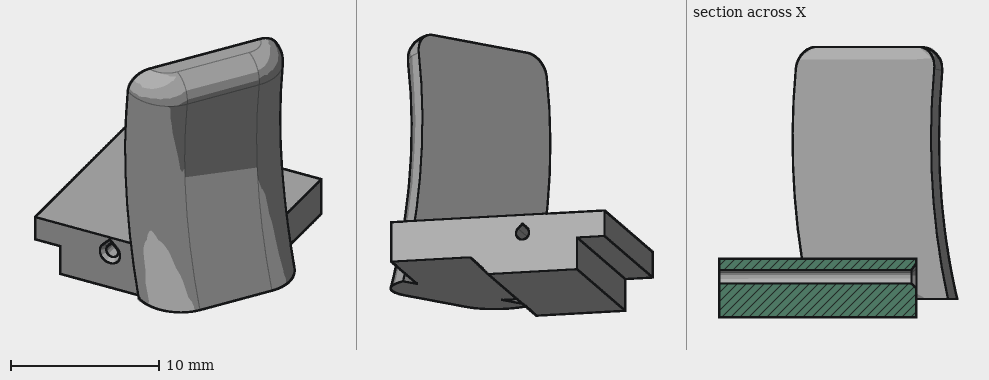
import cadquery as cq
import math

PLATE_LENGTH = 14.83
PLATE_WIDTH = 13.3
PLATE_TOP = 3.96
STEP_LENGTH = 1.91
STEP_HEIGHT = 2.19
FOOT_END = 8.1

HOLE_X = 5.7
HOLE_Z = 2.71
HOLE_RADIUS = 0.45
MOUTH_RADIUS = 0.77
MOUTH_DEPTH = MOUTH_RADIUS - HOLE_RADIUS

LEVER_ANGLE = 55.0
LEVER_WIDTH = 11.4
LEVER_THICKNESS = 3.0
LEVER_X = 7.37
LEVER_Y = -0.98
LEVER_BOTTOM = 1.23
LEVER_TOP = 18.24
LEVER_RADIUS = 30.0
BEND_Z = 12.0
SIDE_LAND = 0.03
SIDE_ROUND = LEVER_THICKNESS - SIDE_LAND
TOP_ROUND = 1.5

SELECTION_MARGIN = 0.003

PLATE_CUT_OFFSET = 3.0

ALONG = cq.Vector(math.cos(math.radians(LEVER_ANGLE)), math.sin(math.radians(LEVER_ANGLE)), 0)
OUTWARD = cq.Vector(ALONG.y, -ALONG.x, 0)
LEVER_PLANE = cq.Plane(origin=(LEVER_X, LEVER_Y, 0), xDir=OUTWARD, normal=-ALONG)


def teardrop(radius, y):
    """Closed teardrop wire in a plane of constant Y, with a 90 degree point upward."""
    tangent = radius * math.sqrt(0.5)
    return (
        cq.Workplane("XZ", origin=(HOLE_X, y, HOLE_Z))
        .moveTo(-tangent, tangent)
        .threePointArc((0, -radius), (tangent, tangent))
        .lineTo(0, 2 * tangent)
        .close()
        .val()
    )


def make_hole():
    """Through hole with a tapered mouth at the front face."""
    bore = cq.Solid.extrudeLinear(teardrop(HOLE_RADIUS, 0), [], cq.Vector(0, PLATE_WIDTH, 0))
    mouth = cq.Solid.makeLoft([teardrop(MOUTH_RADIUS, 0), teardrop(HOLE_RADIUS, MOUTH_DEPTH)], True)
    return cq.Workplane(bore).union(cq.Workplane(mouth))


def make_plate():
    """Stepped plate with a 45 degree slope up to the lever and its lever corner cut off."""
    slope_end = FOOT_END + LEVER_BOTTOM
    plate = (
        cq.Workplane("XZ")
        .moveTo(0, PLATE_TOP)
        .lineTo(0, STEP_HEIGHT)
        .lineTo(STEP_LENGTH, STEP_HEIGHT)
        .lineTo(STEP_LENGTH, 0)
        .lineTo(FOOT_END, 0)
        .lineTo(slope_end, LEVER_BOTTOM)
        .lineTo(PLATE_LENGTH, LEVER_BOTTOM)
        .lineTo(PLATE_LENGTH, PLATE_TOP)
        .close()
        .extrude(-PLATE_WIDTH)
    )
    corner = (
        cq.Workplane(LEVER_PLANE)
        .moveTo(PLATE_CUT_OFFSET, 0)
        .rect(PLATE_LENGTH, PLATE_TOP, centered=False)
        .extrude(-LEVER_WIDTH)
    )
    return plate.cut(corner).cut(make_hole())


def bend_offset(start, radius, z):
    """Outward position at height z of a face bent about the lever's axis."""
    return start + radius - math.sqrt(radius**2 - (z - BEND_Z) ** 2)


def make_lever():
    """Bent slab with rounded outer sides and a rounded top rim, flush at its inner face."""
    outer_radius = LEVER_RADIUS - LEVER_THICKNESS
    lever = (
        cq.Workplane(LEVER_PLANE)
        .moveTo(bend_offset(0, LEVER_RADIUS, LEVER_BOTTOM), LEVER_BOTTOM)
        .threePointArc((0, BEND_Z), (bend_offset(0, LEVER_RADIUS, LEVER_TOP), LEVER_TOP))
        .lineTo(bend_offset(LEVER_THICKNESS, outer_radius, LEVER_TOP), LEVER_TOP)
        .threePointArc(
            (LEVER_THICKNESS, BEND_Z),
            (bend_offset(LEVER_THICKNESS, outer_radius, LEVER_BOTTOM), LEVER_BOTTOM),
        )
        .close()
        .extrude(-LEVER_WIDTH)
    )
    smallest_radius = cq.selectors.RadiusNthSelector(0)
    lever = lever.edges("%CIRCLE").edges(smallest_radius).fillet(SIDE_ROUND)
    inner_offset = bend_offset(0, LEVER_RADIUS, LEVER_TOP)
    rim = (
        lever.faces(">Z")
        .edges()
        .filter(lambda edge: LEVER_PLANE.toLocalCoords(edge.Center()).x > inner_offset + SELECTION_MARGIN)
    )
    return rim.fillet(TOP_ROUND)


result = make_plate().union(make_lever())